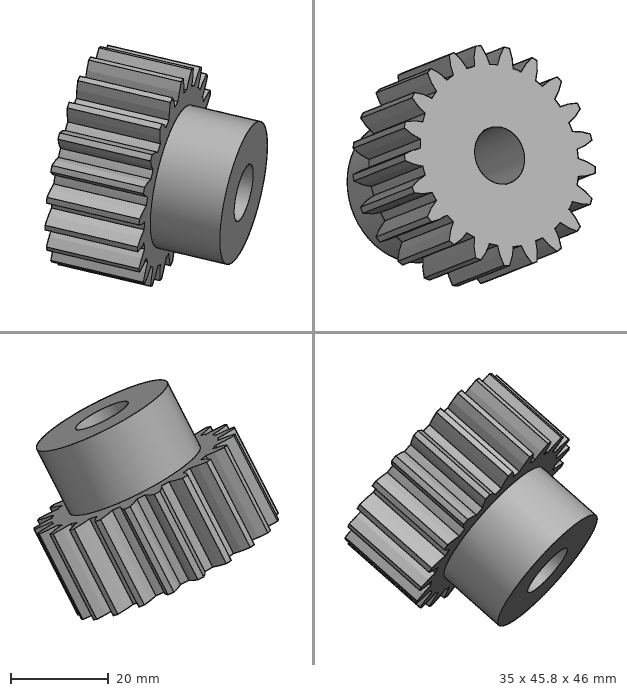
import cadquery as cq
import math

tooth_count = 21
module = 2.0
tooth_root_width = 3.785
tooth_pitch_width = 2.96
tooth_tip_width = 1.34

gear_width = 20.0
hub_length = 15.0
hub_diameter = 30.0
bore_diameter = 12.0

pitch_radius = module * tooth_count / 2
tip_radius = pitch_radius + module
root_radius = pitch_radius - module
tooth_spacing = 2 * math.pi / tooth_count
first_tooth_angle = math.pi
total_length = gear_width + hub_length

tooth_sections = [
    (root_radius, tooth_root_width),
    (pitch_radius, tooth_pitch_width),
    (tip_radius, tooth_tip_width),
]


def polar(radius, angle):
    return (radius * math.cos(angle), radius * math.sin(angle))


def flank_points(center_angle, side):
    """Corners of one flank, root to tip: two flats that meet on the pitch circle."""
    points = []
    for radius, width in tooth_sections:
        half_angle = math.asin(width / 2 / radius)
        points.append(polar(radius, center_angle + side * half_angle))
    return points


def add_tooth(outline, center_angle):
    """Add one tooth to the outline, starting at the foot of its rising flank."""
    bend, tip = flank_points(center_angle, -1)[1:]
    far_root, far_bend, far_tip = flank_points(center_angle, 1)
    next_root = flank_points(center_angle + tooth_spacing, -1)[0]
    outline = outline.lineTo(*bend).lineTo(*tip)
    outline = outline.threePointArc(polar(tip_radius, center_angle), far_tip)
    outline = outline.lineTo(*far_bend).lineTo(*far_root)
    return outline.threePointArc(polar(root_radius, center_angle + tooth_spacing / 2), next_root)


def toothed_wheel():
    """Spur gear along +X, with tooth tips and roots as arcs about the axis."""
    first_root = flank_points(first_tooth_angle, -1)[0]
    outline = cq.Workplane("YZ").moveTo(*first_root)
    for i in range(tooth_count):
        outline = add_tooth(outline, first_tooth_angle + i * tooth_spacing)
    return outline.close().extrude(gear_width)


def hub():
    """Plain round hub on the +X face of the gear."""
    return cq.Workplane("YZ", origin=(gear_width, 0, 0)).circle(hub_diameter / 2).extrude(hub_length)


def bore():
    """Shaft bore through the gear and the hub."""
    return cq.Workplane("YZ").circle(bore_diameter / 2).extrude(total_length)


result = toothed_wheel().union(hub()).cut(bore())